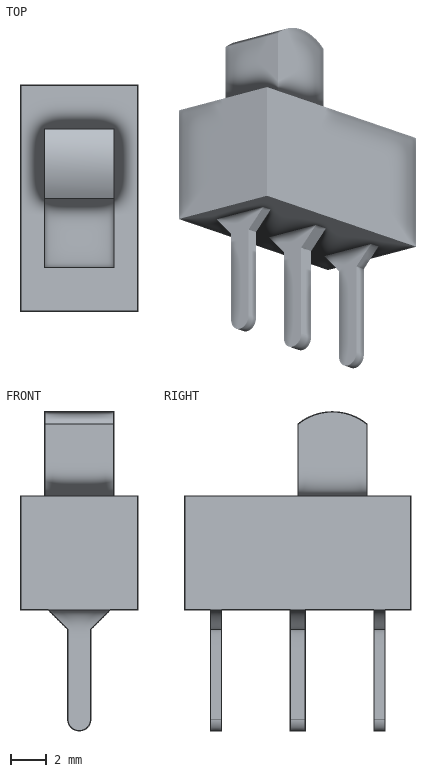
import cadquery as cq

body_width = 6.6
body_length = 12.7
body_height = 6.4

slider_side = 3.9
slot_length = 2 * slider_side
slot_depth = 0.2

total_height = 17.93
pin_length = 6.8
slider_height = total_height - body_height - pin_length
crown_height = 0.7

pin_width = 1.3
flare_height = 1.1
flare_width = pin_width + 2 * flare_height
pin_pitch = 4.59
outer_pin_thickness = 0.63
middle_pin_thickness = 0.85


def make_housing():
    housing = cq.Workplane("XY").box(
        body_width, body_length, body_height, centered=(True, True, False)
    )
    slot = (
        cq.Workplane("XY", origin=(0, 0, body_height - slot_depth))
        .box(slider_side, slot_length, slot_depth, centered=(True, True, False))
    )
    return housing.cut(slot)


def make_slider():
    """Square post with an arched top, standing on the slot floor."""
    base_z = body_height - slot_depth
    top_z = body_height + slider_height
    shoulder_z = top_z - crown_height
    return (
        cq.Workplane("YZ")
        .moveTo(0, base_z)
        .lineTo(slider_side, base_z)
        .lineTo(slider_side, shoulder_z)
        .threePointArc((slider_side / 2, top_z), (0, shoulder_z))
        .close()
        .extrude(slider_side / 2, both=True)
    )


def make_pin(center_y, thickness):
    """Blade hanging from the housing bottom, with 45 degree flares at its root."""
    half_width = pin_width / 2
    half_flare = flare_width / 2
    tip_start_z = half_width - pin_length
    return (
        cq.Workplane("XZ", origin=(0, center_y, 0))
        .moveTo(-half_flare, 0)
        .lineTo(-half_width, -flare_height)
        .lineTo(-half_width, tip_start_z)
        .threePointArc((0, -pin_length), (half_width, tip_start_z))
        .lineTo(half_width, -flare_height)
        .lineTo(half_flare, 0)
        .close()
        .extrude(thickness / 2, both=True)
    )


result = make_housing().union(make_slider())
result = result.union(make_pin(0, middle_pin_thickness))
for side in (-1, 1):
    result = result.union(make_pin(side * pin_pitch, outer_pin_thickness))